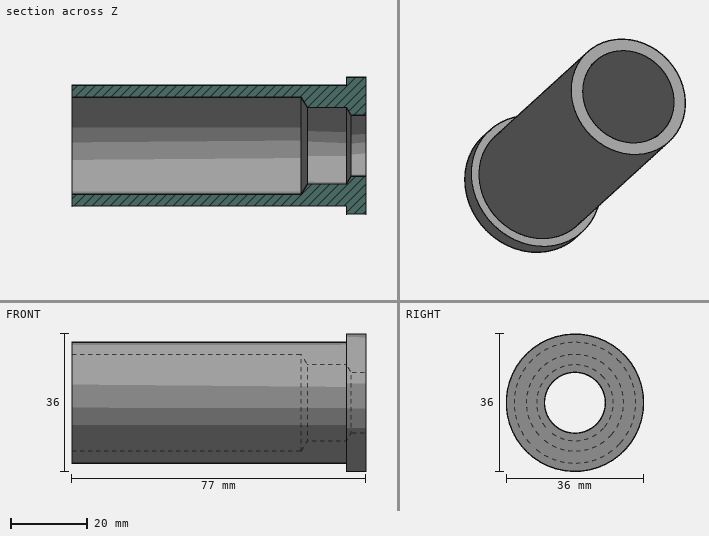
import math

import cadquery as cq

total_length = 77.0
flange_thickness = 5.2
body_diameter = 31.75
flange_diameter = 36.0
body_length = total_length - flange_thickness

wide_bore_diameter = 25.38
middle_bore_diameter = 20.0
narrow_bore_diameter = 15.88
drill_point_angle = 118.0
wide_bore_depth = 60.0
middle_bore_depth = body_length


def cylinder_along_x(start, length, diameter):
    """Solid cylinder about the X axis, running toward +X from the given start."""
    return cq.Workplane("YZ", origin=(start, 0, 0)).circle(diameter / 2).extrude(length)


def drilled_hole(depth, diameter):
    """Solid of a hole drilled from X = 0, straight to the given depth and ending in a pointed tip."""
    radius = diameter / 2
    tip_length = radius / math.tan(math.radians(drill_point_angle / 2))
    return (
        cq.Workplane("XY")
        .lineTo(0, radius)
        .lineTo(depth, radius)
        .lineTo(depth + tip_length, 0)
        .close()
        .revolve(360, (0, 0, 0), (1, 0, 0))
    )


body = cylinder_along_x(0, body_length, body_diameter)
flange = cylinder_along_x(body_length, flange_thickness, flange_diameter)
through_bore = cylinder_along_x(0, total_length, narrow_bore_diameter)

result = (
    body.union(flange)
    .cut(through_bore)
    .cut(drilled_hole(middle_bore_depth, middle_bore_diameter))
    .cut(drilled_hole(wide_bore_depth, wide_bore_diameter))
)